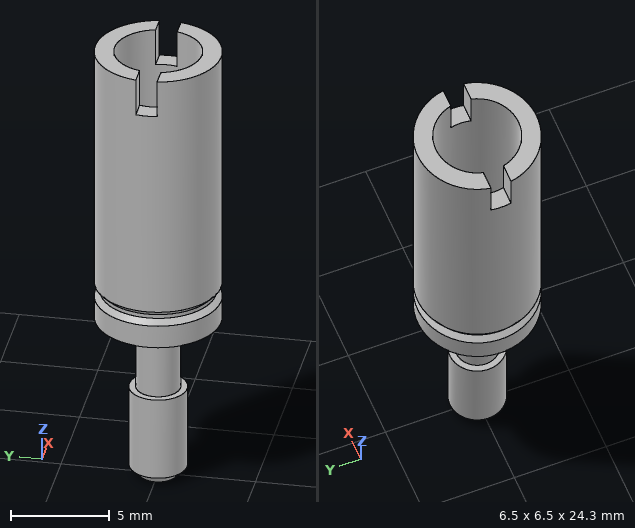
import cadquery as cq
import math

total_length = 24.3
body_radius = 6.5 / 2
body_bottom = 9.0
tip_radius = 3.0 / 2
tip_length = 5.0
tip_chamfer = 0.5
neck_radius = 1.15

collar_height = 1.25
groove_depth = 0.3
groove_floor_width = 0.22
groove_bottom = body_bottom + collar_height
groove_floor_bottom = groove_bottom + groove_depth
groove_floor_top = groove_floor_bottom + groove_floor_width
groove_top = groove_floor_top + groove_depth

bore_radius = 4.5 / 2
bore_depth = 10.0
bore_point_angle = 118.0

slot_width = 1.1
slot_depth = 2.0


def turned_pin():
    """Solid of revolution: chamfered tip, neck and grooved body."""
    groove_radius = body_radius - groove_depth
    return (
        cq.Workplane("XZ")
        .moveTo(0, 0)
        .lineTo(tip_radius - tip_chamfer, 0)
        .lineTo(tip_radius, tip_chamfer)
        .lineTo(tip_radius, tip_length)
        .lineTo(neck_radius, tip_length)
        .lineTo(neck_radius, body_bottom)
        .lineTo(body_radius, body_bottom)
        .lineTo(body_radius, groove_bottom)
        .lineTo(groove_radius, groove_floor_bottom)
        .lineTo(groove_radius, groove_floor_top)
        .lineTo(body_radius, groove_top)
        .lineTo(body_radius, total_length)
        .lineTo(0, total_length)
        .close()
        .revolve(360, (0, 0, 0), (0, 1, 0))
    )


def drilled_bore():
    """Drill shape: straight bore ending in a cone."""
    shoulder = total_length - bore_depth
    cone_height = bore_radius / math.tan(math.radians(bore_point_angle / 2))
    return (
        cq.Workplane("XZ")
        .moveTo(0, shoulder - cone_height)
        .lineTo(bore_radius, shoulder)
        .lineTo(bore_radius, total_length)
        .lineTo(0, total_length)
        .close()
        .revolve(360, (0, 0, 0), (0, 1, 0))
    )


def driver_slot():
    """Slot running along X through both walls of the open end."""
    return (
        cq.Workplane("XY")
        .workplane(offset=total_length - slot_depth)
        .rect(2 * body_radius, slot_width)
        .extrude(slot_depth)
    )


result = turned_pin().cut(drilled_bore()).cut(driver_slot())